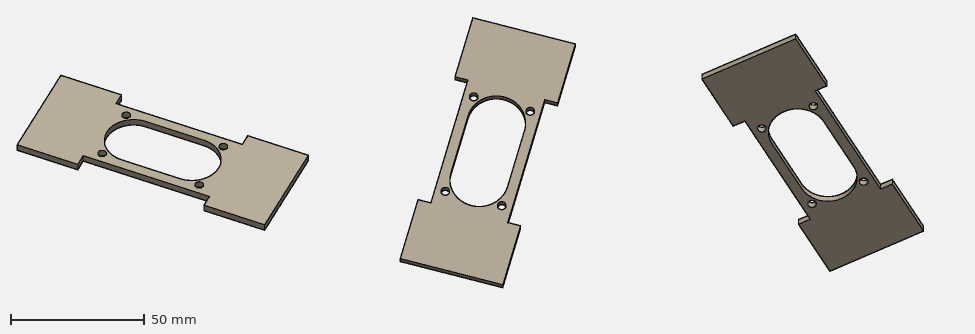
import cadquery as cq

length = 102.0
width = 40.0
thickness = 3.0

neck_length = 52.0
neck_width = 30.0

window_length = 46.0
window_width = 22.0

hole_diameter = 3.2
hole_spacing_x = 40.0
hole_spacing_y = 22.0


def make_plate():
    """Flat plate with a wide pad at each end and a narrower neck between them."""
    pad_length = (length - neck_length) / 2
    pad_offset = (length - pad_length) / 2
    neck = cq.Workplane("XY").box(length, neck_width, thickness)
    pads = (
        cq.Workplane("XY")
        .pushPoints([(-pad_offset, 0), (pad_offset, 0)])
        .box(pad_length, width, thickness)
    )
    return neck.union(pads)


def cut_window(plate):
    """Cut the central rounded window through the neck."""
    return plate.faces(">Z").workplane(origin=(0, 0, 0)).slot2D(window_length, window_width).cutThruAll()


def cut_mounting_holes(plate):
    """Drill the four mounting holes through the neck."""
    return (
        plate.faces(">Z")
        .workplane(origin=(0, 0, 0))
        .rect(hole_spacing_x, hole_spacing_y, forConstruction=True)
        .vertices()
        .hole(hole_diameter)
    )


result = cut_mounting_holes(cut_window(make_plate()))